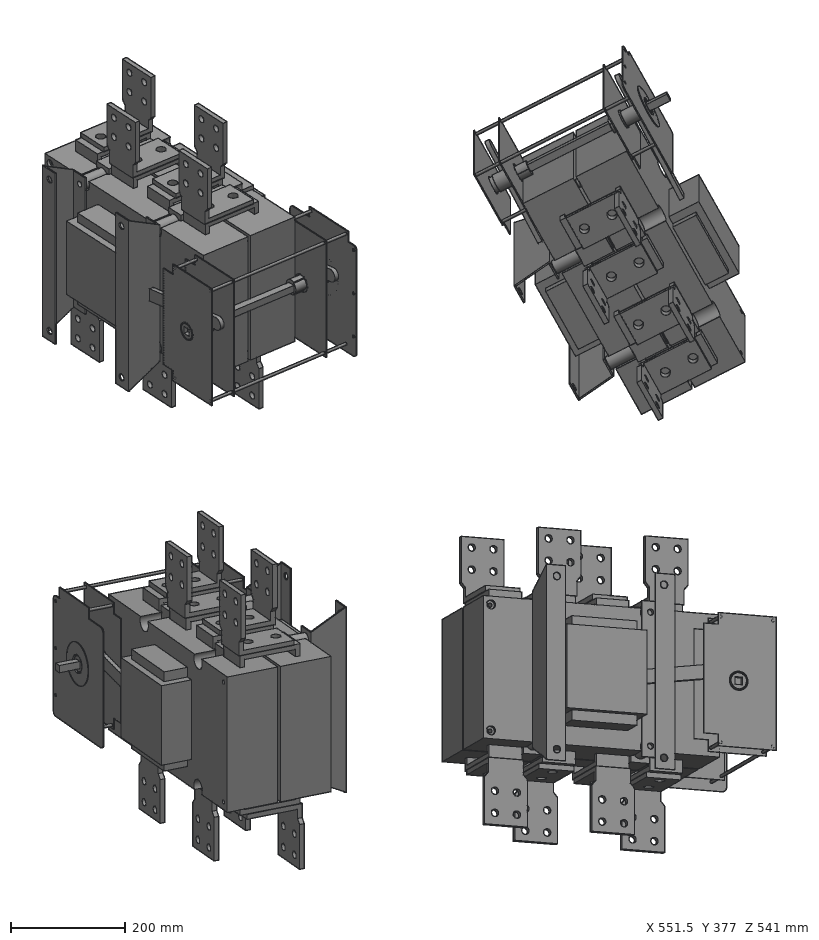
import cadquery as cq
import math


housing_length = 442.0
housing_height = 256.0
housing_gap = 5.5
housing_face_y = 103.0
corner_bolt_x = 14.5
corner_bolt_z = 113.0
corner_bore_dia = 7.0
corner_counterbore_dia = 16.0
corner_counterbore_depth = 5.5
corner_spacer_dia = 16.0

pole_count = 4
pole_pitch = 100.5
pole_middle_x = 209.0
terminal_middle_y = 3.05
bridge_width = 61.0
bridge_length = 119.5
bridge_wall = 9.5
bridge_top_z = 151.0
terminal_thickness = 9.5
terminal_foot_width = 65.0
terminal_half_depth = 63.0
terminal_foot_end = 47.0
foot_hole_dia = 17.5
foot_hole_offset = 27.5
blade_width = 80.0
blade_tip_z = 269.0
upper_long_extra = 1.0
lower_long_extra = 2.0
shoulder_low_z = 177.5
shoulder_high_z = 186.5
blade_hole_dia = 13.0
blade_hole_offset_x = 20.5
blade_hole_levels = (210.5, 250.5)

magnet_size = 150.5
magnet_face_y = 162.5
magnet_core_width = 121.5
magnet_core_height = 187.5
magnet_core_face_y = 149.5

tie_z = 120.0
tie_channel_dia = 31.0
tie_collar_dia = 33.0
tie_collar_clearance = 0.5
tie_bolt_dia = 25.0
tie_block_width = 35.0
tie_block_end_y = 60.5
tie_block_top_z = 139.5

bracket_back_y = -110.5
bracket_front_y = -181.0
bracket_sheet = 3.0
bracket_width = 36.0
bracket_outer_offset = 120.0
bracket_back_half_height = 140.0
bracket_front_half_height = 175.5
bracket_hole_dia = 13.0
bracket_front_hole_z = 155.5
bracket_bolt_hole_dia = 11.0
bracket_bolt_hole_depth = 5.5

shaft_x = 459.0
frame_sheet = 2.0
frame_outer_y = 153.0
plate_left_x = 394.0
plate_step_x = 420.0
plate_right_x = 529.0
plate_half_height = 119.5
plate_step_z = 98.5
plate_bore_dia = 34.0
back_plate_right_x = 551.5
back_plate_bottom_z = -129.0
back_plate_corner = 9.0
back_hole_dia = 5.5
back_hole_inset = 8.0
back_hole_pitch = 89.0
dial_dia = 80.0
dial_thickness = 1.5
rod_dia = 5.5
short_rod_x = 425.0
long_rod_x = 523.0

shaft_side = 14.0
shaft_rear_y = 196.0
socket_depth = 8.0
hub_dia = 29.0
front_hub_dia = 33.0
front_hub_end_y = -146.0
hub_collar_dia = 35.0
hub_collar_width = 3.0
jaw_core_dia = 25.0
jaw_end_y = 81.5
front_jaw_edge_x = 1.0
rear_jaw_edge_x = 6.0
arm_y = 129.0
arm_thickness = 8.0
arm_height = 25.0
arm_start_z = -1.95
arm_end_x = 514.0
arm_end_z = 33.5

housing_top_z = housing_height / 2
gap_half = housing_gap / 2
plate_outer_y = frame_outer_y + frame_sheet
magnet_right_x = pole_middle_x + magnet_size / 2
pole_xs = [pole_middle_x + (i - (pole_count - 1) / 2) * pole_pitch for i in range(pole_count)]
tie_xs = (pole_middle_x - pole_pitch, pole_middle_x + pole_pitch)


def box(x0, x1, y0, y1, z0, z1):
    """Box between two opposite corners, whose coordinates may come in either order."""
    size = (abs(x1 - x0), abs(y1 - y0), abs(z1 - z0))
    middle = ((x0 + x1) / 2, (y0 + y1) / 2, (z0 + z1) / 2)
    return cq.Workplane("XY").box(*size).translate(middle)


def rod(x, z, diameter, y0, y1):
    """Cylinder along Y from y0 to y1."""
    return (
        cq.Workplane("XZ", origin=(x, max(y0, y1), z))
        .circle(diameter / 2)
        .extrude(abs(y1 - y0))
    )


def sheet(points, y0, y1):
    """Flat plate with an outline of (x, z) points, from y0 up to y1."""
    return cq.Workplane("XZ", origin=(0, y1, 0)).polyline(points).close().extrude(y1 - y0)


def pole_housings():
    """Front and rear housing with tie channels and collars, corner bolt holes and spacers."""
    body = None
    for side in (-1, 1):
        half = box(
            0, housing_length,
            side * gap_half, side * housing_face_y,
            -housing_top_z, housing_top_z,
        )
        body = half if body is None else body.union(half)
    for z in (-tie_z, tie_z):
        for x in tie_xs:
            for side in (-1, 1):
                channel = rod(x, z, tie_channel_dia, side * tie_block_end_y, side * housing_face_y)
                collar_end_y = side * tie_collar_clearance / 2
                collar = rod(x, z, tie_collar_dia, collar_end_y, side * gap_half)
                body = body.cut(channel).union(collar)
    for z in (-corner_bolt_z, corner_bolt_z):
        body = body.cut(rod(corner_bolt_x, z, corner_bore_dia, -housing_face_y, housing_face_y))
        counterbore_floor_y = -housing_face_y + corner_counterbore_depth
        body = body.cut(
            rod(corner_bolt_x, z, corner_counterbore_dia, -housing_face_y, counterbore_floor_y)
        )
        body = body.union(rod(short_rod_x, z, corner_spacer_dia, -gap_half, gap_half))
    return body


def tie_parts():
    """Blocks over the tie channels and the tie bolts that carry the brackets."""
    parts = []
    for x in tie_xs:
        for end in (-1, 1):
            for side in (-1, 1):
                parts.append(box(
                    x - tie_block_width / 2, x + tie_block_width / 2,
                    side * gap_half, side * tie_block_end_y,
                    end * tie_z, end * tie_block_top_z,
                ))
            parts.append(rod(x, end * tie_z, tie_bolt_dia, -tie_block_end_y, bracket_back_y))
    return parts


def magnets():
    """Magnet box and its taller core on the front and rear faces of the housings."""
    parts = []
    for side in (-1, 1):
        for width, height, face_y in (
            (magnet_size, magnet_size, magnet_face_y),
            (magnet_core_width, magnet_core_height, magnet_core_face_y),
        ):
            parts.append(box(
                pole_middle_x - width / 2, pole_middle_x + width / 2,
                side * housing_face_y, side * face_y,
                -height / 2, height / 2,
            ))
    return parts


def terminal(x, blade_side, extra_length):
    """Upper terminal: U-shaped bridge, foot and upright blade.

    blade_side is 1 for a blade at the rear and -1 for a blade at the front.
    """
    mid_y = terminal_middle_y
    foot_top_z = bridge_top_z + terminal_thickness
    tip_z = blade_tip_z + extra_length

    bridge = box(
        x - bridge_width / 2, x + bridge_width / 2,
        mid_y - bridge_length / 2, mid_y + bridge_length / 2,
        housing_top_z, bridge_top_z,
    )
    tunnel_half = bridge_length / 2 - bridge_wall
    bridge = bridge.cut(box(
        x - bridge_width / 2, x + bridge_width / 2,
        mid_y - tunnel_half, mid_y + tunnel_half,
        housing_top_z, bridge_top_z - bridge_wall,
    ))

    foot_half = terminal_foot_width / 2
    blade_outer_y = mid_y + blade_side * terminal_half_depth
    blade_inner_y = blade_outer_y - blade_side * terminal_thickness
    foot = box(
        x - foot_half, x + foot_half,
        blade_outer_y, mid_y - blade_side * terminal_foot_end,
        bridge_top_z, foot_top_z,
    )

    blade_half = blade_width / 2
    blade = sheet(
        [
            (x - foot_half, bridge_top_z),
            (x + foot_half, bridge_top_z),
            (x + foot_half, shoulder_low_z),
            (x + blade_half, shoulder_high_z),
            (x + blade_half, tip_z),
            (x - blade_half, tip_z),
            (x - blade_half, shoulder_high_z),
            (x - foot_half, shoulder_low_z),
        ],
        min(blade_inner_y, blade_outer_y),
        max(blade_inner_y, blade_outer_y),
    )
    for hole_x in (x - blade_hole_offset_x, x + blade_hole_offset_x):
        for hole_z in blade_hole_levels:
            blade = blade.cut(rod(hole_x, hole_z, blade_hole_dia, blade_inner_y, blade_outer_y))

    foot_holes = (
        cq.Workplane("XY", origin=(x, mid_y, housing_top_z))
        .pushPoints([(0, -foot_hole_offset), (0, foot_hole_offset)])
        .circle(foot_hole_dia / 2)
        .extrude(foot_top_z - housing_top_z)
    )
    return bridge.union(foot).cut(foot_holes).union(blade)


def terminals():
    """Upper and lower terminals; the blade side alternates from pole to pole and top to bottom."""
    parts = []
    for pole, x in enumerate(pole_xs):
        upper_side = 1 if pole % 2 == 0 else -1
        upper_extra = upper_long_extra if pole == 2 else 0
        lower_extra = lower_long_extra if pole == 0 else 0
        parts.append(terminal(x, upper_side, upper_extra))
        parts.append(terminal(x, -upper_side, lower_extra).mirror("XY"))
    return parts


def bracket(side):
    """Channel bracket: tapered web with a back and a front flange towards the middle pole."""
    web_x = pole_middle_x + side * bracket_outer_offset
    flange_x = web_x - side * bracket_width
    bolt_x = pole_middle_x + side * pole_pitch
    web = (
        cq.Workplane("YZ", origin=(min(web_x, web_x - side * bracket_sheet), 0, 0))
        .polyline([
            (bracket_back_y, -bracket_back_half_height),
            (bracket_back_y, bracket_back_half_height),
            (bracket_front_y, bracket_front_half_height),
            (bracket_front_y, -bracket_front_half_height),
        ])
        .close()
        .extrude(bracket_sheet)
    )
    back = box(
        web_x, flange_x,
        bracket_back_y, bracket_back_y - bracket_sheet,
        -bracket_back_half_height, bracket_back_half_height,
    )
    front = box(
        web_x, flange_x,
        bracket_front_y, bracket_front_y + bracket_sheet,
        -bracket_front_half_height, bracket_front_half_height,
    )
    hole_end_y = bracket_front_y + bracket_sheet
    for z in (-bracket_front_hole_z, bracket_front_hole_z):
        front = front.cut(rod(bolt_x, z, bracket_hole_dia, bracket_front_y, hole_end_y))
    return web.union(back).union(front)


def bracket_bolt_holes():
    """Blind holes through the back flanges into the ends of the tie bolts."""
    y0 = bracket_back_y - bracket_sheet
    y1 = bracket_back_y + bracket_bolt_hole_depth
    return [rod(x, z, bracket_bolt_hole_dia, y0, y1) for x in tie_xs for z in (-tie_z, tie_z)]


def stepped_plate(y0, y1):
    """Drive plate with a step in each left corner."""
    return sheet(
        [
            (plate_right_x, -plate_half_height),
            (plate_right_x, plate_half_height),
            (plate_step_x, plate_half_height),
            (plate_step_x, plate_step_z),
            (plate_left_x, plate_step_z),
            (plate_left_x, -plate_step_z),
            (plate_step_x, -plate_step_z),
            (plate_step_x, -plate_half_height),
        ],
        y0,
        y1,
    )


def back_plate():
    """Rearmost plate: wider and deeper with rounded corners, an upper tab and three edge holes."""
    left_x = 2 * shaft_x - back_plate_right_x
    plate = box(
        left_x, back_plate_right_x,
        frame_outer_y, plate_outer_y,
        back_plate_bottom_z, plate_step_z,
    ).edges("|Y").fillet(back_plate_corner)
    tab = box(
        plate_step_x, plate_right_x,
        frame_outer_y, plate_outer_y,
        0, plate_half_height,
    )
    plate = plate.union(tab)
    hole_x = back_plate_right_x - back_hole_inset
    for z in (-back_hole_pitch, 0, back_hole_pitch):
        plate = plate.cut(rod(hole_x, z, back_hole_dia, frame_outer_y, plate_outer_y))
    return plate.union(rod(shaft_x, 0, dial_dia, plate_outer_y, plate_outer_y + dial_thickness))


def drive_frame():
    """Four bored plates held apart by rods."""
    inner_face_y = housing_face_y + frame_sheet
    frame = back_plate()
    frame = frame.union(stepped_plate(housing_face_y, inner_face_y))
    frame = frame.union(stepped_plate(-inner_face_y, -housing_face_y))
    frame = frame.union(stepped_plate(-plate_outer_y, -frame_outer_y))
    bore = rod(shaft_x, 0, plate_bore_dia, -plate_outer_y, plate_outer_y + dial_thickness)
    frame = frame.cut(bore)
    for z in (-corner_bolt_z, corner_bolt_z):
        frame = frame.union(rod(long_rod_x, z, rod_dia, -frame_outer_y, frame_outer_y))
        for side in (-1, 1):
            short_rod = rod(short_rod_x, z, rod_dia, side * inner_face_y, side * frame_outer_y)
            frame = frame.union(short_rod)
    return frame


def drive_arm(side):
    """Sloping lever with a rounded free end, ending at the side of the magnet box."""
    run = arm_end_x - magnet_right_x
    rise = arm_end_z - arm_start_z
    slope = math.degrees(math.atan2(rise, run))
    length = math.hypot(run, rise)
    y0 = side * arm_y - arm_thickness / 2
    y1 = side * arm_y + arm_thickness / 2
    bar = box(
        arm_end_x - length - arm_height, arm_end_x,
        y0, y1,
        arm_end_z - arm_height / 2, arm_end_z + arm_height / 2,
    )
    bar = bar.union(rod(arm_end_x, arm_end_z, arm_height, y0, y1))
    bar = bar.rotate((arm_end_x, 0, arm_end_z), (arm_end_x, 1, arm_end_z), -slope)
    trim = box(
        pole_middle_x - magnet_size, magnet_right_x,
        y0, y1,
        -magnet_size, magnet_size,
    )
    return bar.cut(trim)


def jaw(side, edge_x):
    """Stepped hub end: a round core with a wider jaw on its left part."""
    inner_y = side * jaw_end_y
    outer_y = side * (housing_face_y + frame_sheet)
    core = rod(shaft_x, 0, jaw_core_dia, inner_y, outer_y)
    left_part = box(
        shaft_x - hub_dia, shaft_x + edge_x,
        inner_y, outer_y,
        -hub_dia, hub_dia,
    )
    return core.union(rod(shaft_x, 0, hub_dia, inner_y, outer_y).intersect(left_part))


def drive_shaft():
    """Square shaft with its hubs, collars, jaws and the two arms."""
    collar_y = housing_face_y + frame_sheet
    collar_end_y = collar_y + hub_collar_width
    shaft = box(
        shaft_x - shaft_side / 2, shaft_x + shaft_side / 2,
        -plate_outer_y + socket_depth, shaft_rear_y,
        -shaft_side / 2, shaft_side / 2,
    )
    hubs = rod(shaft_x, 0, hub_dia, collar_y, plate_outer_y)
    hubs = hubs.union(rod(shaft_x, 0, hub_dia, -collar_y, -plate_outer_y))
    hubs = hubs.union(rod(shaft_x, 0, front_hub_dia, -collar_y, front_hub_end_y))
    socket = box(
        shaft_x - shaft_side / 2, shaft_x + shaft_side / 2,
        -plate_outer_y, -plate_outer_y + socket_depth,
        -shaft_side / 2, shaft_side / 2,
    )
    shaft = shaft.union(hubs.cut(socket))
    shaft = shaft.union(jaw(-1, front_jaw_edge_x)).union(jaw(1, rear_jaw_edge_x))
    for side in (-1, 1):
        shaft = shaft.union(rod(shaft_x, 0, hub_collar_dia, side * collar_y, side * collar_end_y))
        shaft = shaft.union(drive_arm(side))
    return shaft


def switch_unit():
    """Everything that stands still: housings, terminals, magnets, brackets and drive frame."""
    unit = pole_housings()
    for part in tie_parts() + magnets() + terminals() + [bracket(-1), bracket(1), drive_frame()]:
        unit = unit.union(part)
    for hole in bracket_bolt_holes():
        unit = unit.cut(hole)
    return unit.cut(drive_arm(-1))


switch = switch_unit()
drive = drive_shaft()
result = cq.Compound.makeCompound([switch.solids().val(), drive.solids().val()])